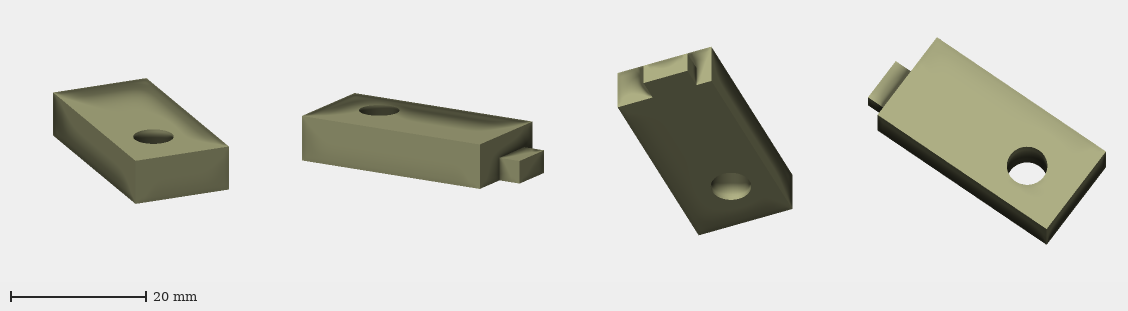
import cadquery as cq

total_length = 34.2
body_width = 15.0
body_height = 6.8

tab_length = 3.45
tab_width = 7.0
tab_height = 3.45
tab_side_offset = 2.4

hole_diameter = 6.0
hole_end_distance = 8.15
hole_side_distance = 6.4

body_length = total_length - tab_length


def corner_box(length, width, height, x, y):
    """Box standing on Z = 0 with its lowest X and Y corner at (x, y)."""
    return cq.Workplane("XY").box(length, width, height, centered=False).translate((x, y, 0))


body = corner_box(body_length, body_width, body_height, tab_length, 0)
tab = corner_box(tab_length, tab_width, tab_height, 0, tab_side_offset)
hole = (
    cq.Workplane("XY")
    .center(total_length - hole_end_distance, hole_side_distance)
    .circle(hole_diameter / 2)
    .extrude(body_height)
)

result = body.union(tab).cut(hole)